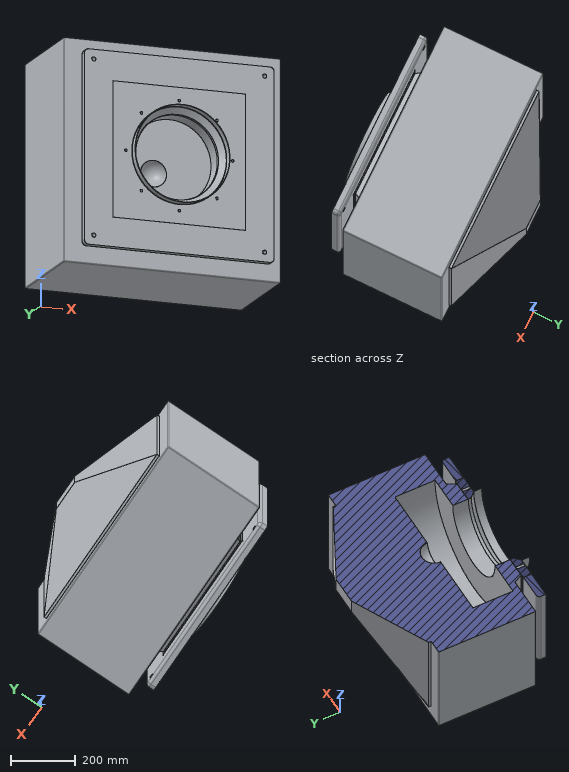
import cadquery as cq


COLLAR_FRONT = 0.0
PLATE_FRONT = 28.0
PLATE_REAR = 58.0
NECK_REAR = 62.0
CABINET_FRONT = 89.5
THROAT_REAR = 113.5
CHAMBER_REAR = 254.5
CABINET_REAR = 435.0
SKIRT_REAR = 443.5
HOOD_REAR = 576.0

CABINET_WIDTH = 724.0
CABINET_HEIGHT = 727.0
CABINET_EDGE_RADIUS = 3.0
NECK_FRONT_SIZE = 424.0
NECK_BASE_SIZE = 454.0
HOOD_BASE_SIZE = 626.0
HOOD_TOP_SIZE = 102.0

COLLAR_RADIUS = 158.5
COLLAR_WALL = 1.5
THROAT_RADIUS = 138.0
CHAMBER_RADIUS = 254.5
DIMPLE_RADIUS = 43.0

FRAME_SIZE = 632.5
FRAME_CORNER_RADIUS = 14.0
FRAME_REAR_RADIUS = 11.0
FRAME_HOLE_SPACING = 570.0
FRAME_HOLE_DIAMETER = 13.0

PANEL_SIZE = 441.0
PANEL_HOLE_COUNT = 8
PANEL_HOLE_CIRCLE_RADIUS = 178.0
PANEL_HOLE_DIAMETER = 8.0


def section(y):
    """Workplane across the axis at station y, with its normal along +Y."""
    return cq.Workplane(cq.Plane(origin=(0, y, 0), xDir=(-1, 0, 0), normal=(0, 1, 0)))


def block(size, y_front, y_rear):
    """Square block between two stations."""
    return section(y_front).rect(size, size).extrude(y_rear - y_front)


def square_taper(front_size, rear_size, y_front, y_rear):
    """Square frustum between two stations."""
    length = y_rear - y_front
    return (
        section(y_front)
        .rect(front_size, front_size)
        .workplane(offset=length)
        .rect(rear_size, rear_size)
        .loft()
    )


def cylinder(radius, y_front, y_rear):
    """Round bar between two stations."""
    return section(y_front).circle(radius).extrude(y_rear - y_front)


def cone(front_radius, rear_radius, y_front, y_rear):
    """Round frustum between two stations."""
    solid = cq.Solid.makeCone(
        front_radius, rear_radius, y_rear - y_front, cq.Vector(0, y_front, 0), cq.Vector(0, 1, 0)
    )
    return cq.Workplane(obj=solid)


def make_cabinet():
    """Cabinet with neck and hood, hollowed by the throat, the fan chamber and a dimple."""
    centre_rise = (CABINET_HEIGHT - CABINET_WIDTH) / 2
    body = (
        section(CABINET_FRONT)
        .center(0, centre_rise)
        .rect(CABINET_WIDTH, CABINET_HEIGHT)
        .extrude(CABINET_REAR - CABINET_FRONT)
        .edges()
        .fillet(CABINET_EDGE_RADIUS)
    )
    neck = block(NECK_FRONT_SIZE, PLATE_REAR, NECK_REAR).union(
        square_taper(NECK_FRONT_SIZE, NECK_BASE_SIZE, NECK_REAR, CABINET_FRONT)
    )
    hood = block(HOOD_BASE_SIZE, CABINET_REAR, SKIRT_REAR).union(
        square_taper(HOOD_BASE_SIZE, HOOD_TOP_SIZE, SKIRT_REAR, HOOD_REAR)
    )
    throat = cylinder(THROAT_RADIUS, PLATE_REAR, THROAT_REAR)
    chamber = cylinder(CHAMBER_RADIUS, THROAT_REAR, CHAMBER_REAR)
    dimple = section(CHAMBER_REAR).sphere(DIMPLE_RADIUS)
    return body.union(neck).union(hood).cut(throat).cut(chamber).cut(dimple)


def make_frame():
    """Square mounting frame with rounded corners, rounded rear edge and four corner holes."""
    frame = block(FRAME_SIZE, PLATE_FRONT, PLATE_REAR)
    frame = frame.edges("|Y").fillet(FRAME_CORNER_RADIUS)
    frame = frame.faces(">Y").edges().fillet(FRAME_REAR_RADIUS)
    corner_holes = (
        section(PLATE_FRONT)
        .rect(FRAME_HOLE_SPACING, FRAME_HOLE_SPACING, forConstruction=True)
        .vertices()
        .circle(FRAME_HOLE_DIAMETER / 2)
        .extrude(PLATE_REAR - PLATE_FRONT)
    )
    return frame.cut(corner_holes).cut(block(PANEL_SIZE, PLATE_FRONT, PLATE_REAR))


def make_inlet_panel():
    """Panel set flush in the frame, with the collar, a conical inlet and a ring of holes."""
    bore_radius = COLLAR_RADIUS - COLLAR_WALL
    inlet_rear = PLATE_FRONT + bore_radius - THROAT_RADIUS
    panel = block(PANEL_SIZE, PLATE_FRONT, PLATE_REAR)
    collar = cylinder(COLLAR_RADIUS, COLLAR_FRONT, PLATE_FRONT)
    bore = cylinder(bore_radius, COLLAR_FRONT, PLATE_FRONT)
    inlet = cone(bore_radius, THROAT_RADIUS, PLATE_FRONT, inlet_rear)
    throat = cylinder(THROAT_RADIUS, PLATE_FRONT, PLATE_REAR)
    ring_holes = (
        section(PLATE_FRONT)
        .polarArray(PANEL_HOLE_CIRCLE_RADIUS, 0, 360, PANEL_HOLE_COUNT)
        .circle(PANEL_HOLE_DIAMETER / 2)
        .extrude(PLATE_REAR - PLATE_FRONT)
    )
    return panel.union(collar).cut(bore).cut(inlet).cut(throat).cut(ring_holes)


cabinet = make_cabinet()
frame = make_frame()
inlet_panel = make_inlet_panel()

result = cq.Compound.makeCompound([cabinet.val(), frame.val(), inlet_panel.val()])